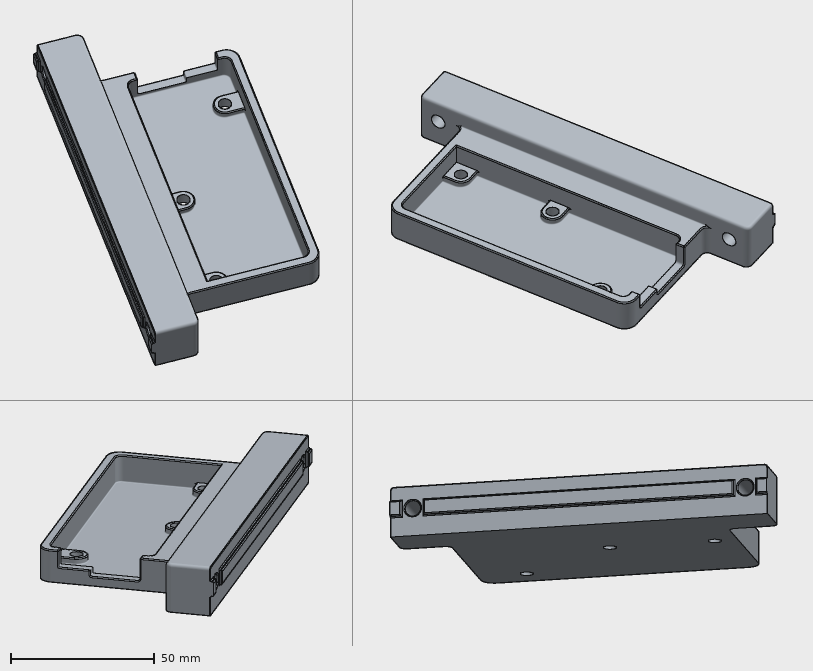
import cadquery as cq

EDGE_BREAK = 0.4
ROOT_RADIUS = 0.4

SELECT_MARGIN = 0.01

BAR_LENGTH = 135.0
BAR_DEPTH = 16.5
BAR_HEIGHT = 18.0
BAR_CORNER_RADIUS = 2.4
BAR_TOP_RADIUS = 1.2
BAR_FRONT_CHAMFER = 0.3

RAIL_PROJECTION = 1.2
RAIL_HEIGHT = 5.4
RAIL_CENTER_Z = 10.0
RAIL_LENGTH = 111.0
RAIL_CHAMFER = 0.4
TAB_LENGTH = 3.9

MOUNT_HOLE_SPACING = 119.1
MOUNT_HOLE_DIAMETER = 5.5
MOUNT_HOLE_CHAMFER = 0.4

TRAY_WIDTH = 99.4
TRAY_DEPTH = 50.6
TRAY_HEIGHT = 12.0
TRAY_CORNER_RADIUS = 4.9
TRAY_JOINT_RADIUS = 2.4
TRAY_BACK_Y = BAR_DEPTH + TRAY_DEPTH

POCKET_WALL = 3.5
POCKET_LENGTH_Y = 37.5
POCKET_CORNER_RADIUS = 2.4
FLOOR_THICKNESS = 2.0
POCKET_WIDTH = TRAY_WIDTH - 2 * POCKET_WALL
POCKET_BACK_Y = TRAY_BACK_Y - POCKET_WALL
POCKET_FRONT_Y = POCKET_BACK_Y - POCKET_LENGTH_Y

BOSS_RADIUS = 4.0
BOSS_TOP_Z = 4.5
BOSS_FLARE_RADIUS = 0.5
BOSS_HOLE_DIAMETER = 4.6
REAR_BOSS_WALL_GAP = 6.1
FRONT_BOSS_WALL_GAP = 4.7
REAR_BOSS = (-32.1, POCKET_BACK_Y - REAR_BOSS_WALL_GAP)
MIDDLE_BOSS = (3.9, POCKET_FRONT_Y + FRONT_BOSS_WALL_GAP)
CORNER_BOSS = (POCKET_WIDTH / 2 - FRONT_BOSS_WALL_GAP, POCKET_FRONT_Y + FRONT_BOSS_WALL_GAP)

OPENING_START = 7.7
OPENING_STEP = 19.2
OPENING_END = 37.0
OPENING_SHALLOW_Z = 5.8
OPENING_DEEP_Z = 3.5
OPENING_END_RADIUS = 1.0


def box(x_min, x_max, y_min, y_max, z_min, z_max):
    size = (x_max - x_min, y_max - y_min, z_max - z_min)
    return cq.Workplane("XY").box(*size, centered=False).translate((x_min, y_min, z_min))


def make_bar():
    bar = box(-BAR_LENGTH / 2, BAR_LENGTH / 2, 0, BAR_DEPTH, 0, BAR_HEIGHT)
    bar = bar.edges("|Z and >Y").fillet(BAR_CORNER_RADIUS)
    bar = bar.faces(">Z").edges("not <Y").fillet(BAR_TOP_RADIUS)
    return bar.faces("<Y").edges("not <Z").chamfer(BAR_FRONT_CHAMFER)


def make_tray():
    """Tray block whose sides flare out to meet the back of the bar tangentially."""
    half_width = TRAY_WIDTH / 2
    flare_x = half_width + TRAY_JOINT_RADIUS
    flare_y = BAR_DEPTH + TRAY_JOINT_RADIUS
    overlap_y = BAR_DEPTH / 2
    tray = (
        cq.Workplane("XY")
        .moveTo(-flare_x, overlap_y)
        .lineTo(-flare_x, BAR_DEPTH)
        .radiusArc((-half_width, flare_y), -TRAY_JOINT_RADIUS)
        .lineTo(-half_width, TRAY_BACK_Y)
        .lineTo(half_width, TRAY_BACK_Y)
        .lineTo(half_width, flare_y)
        .radiusArc((flare_x, BAR_DEPTH), -TRAY_JOINT_RADIUS)
        .lineTo(flare_x, overlap_y)
        .close()
        .extrude(TRAY_HEIGHT)
    )
    return tray.edges("|Z and >Y").fillet(TRAY_CORNER_RADIUS)


def make_wall_boss(wall_gap):
    """Boss centred on the origin, its web flaring into a wall at y = wall_gap."""
    radius = BOSS_RADIUS
    foot = radius + BOSS_FLARE_RADIUS
    flare_start = wall_gap - BOSS_FLARE_RADIUS
    inside_wall = wall_gap + radius
    boss = (
        cq.Workplane("XY")
        .moveTo(-foot, inside_wall)
        .lineTo(-foot, wall_gap)
        .radiusArc((-radius, flare_start), BOSS_FLARE_RADIUS)
        .lineTo(-radius, 0)
        .threePointArc((0, -radius), (radius, 0))
        .lineTo(radius, flare_start)
        .radiusArc((foot, wall_gap), BOSS_FLARE_RADIUS)
        .lineTo(foot, inside_wall)
        .close()
        .extrude(BOSS_TOP_Z)
    )
    return boss.faces(">Z").chamfer(EDGE_BREAK)


def make_corner_boss(wall_gap):
    """Boss centred on the origin, filling the corner of walls at x = wall_gap and y = -wall_gap."""
    radius = BOSS_RADIUS
    foot = radius + BOSS_FLARE_RADIUS
    flare_start = wall_gap - BOSS_FLARE_RADIUS
    inside_wall = wall_gap + radius
    boss = (
        cq.Workplane("XY")
        .moveTo(-foot, -inside_wall)
        .lineTo(-foot, -wall_gap)
        .radiusArc((-radius, -flare_start), -BOSS_FLARE_RADIUS)
        .lineTo(-radius, 0)
        .radiusArc((0, radius), radius)
        .lineTo(flare_start, radius)
        .radiusArc((wall_gap, foot), -BOSS_FLARE_RADIUS)
        .lineTo(inside_wall, foot)
        .lineTo(inside_wall, -inside_wall)
        .close()
        .extrude(BOSS_TOP_Z)
    )
    return boss.faces(">Z").chamfer(EDGE_BREAK)


def make_pocket():
    half_width = POCKET_WIDTH / 2
    pocket = box(-half_width, half_width, POCKET_FRONT_Y, POCKET_BACK_Y, FLOOR_THICKNESS, TRAY_HEIGHT)
    pocket = pocket.edges("|Z and (>Y or <X)").fillet(POCKET_CORNER_RADIUS)
    rear_boss = make_wall_boss(REAR_BOSS_WALL_GAP)
    middle_boss = make_wall_boss(FRONT_BOSS_WALL_GAP).rotate((0, 0, 0), (0, 0, 1), 180)
    corner_boss = make_corner_boss(FRONT_BOSS_WALL_GAP)
    pocket = pocket.cut(rear_boss.translate((*REAR_BOSS, 0)))
    pocket = pocket.cut(middle_boss.translate((*MIDDLE_BOSS, 0)))
    pocket = pocket.cut(corner_boss.translate((*CORNER_BOSS, 0)))
    return pocket.faces("<Z").edges().fillet(ROOT_RADIUS)


def make_opening():
    start_y = TRAY_BACK_Y - OPENING_START
    step_y = TRAY_BACK_Y - OPENING_STEP
    end_y = TRAY_BACK_Y - OPENING_END
    profile = [
        (start_y, TRAY_HEIGHT),
        (start_y, OPENING_SHALLOW_Z),
        (step_y, OPENING_SHALLOW_Z),
        (step_y, OPENING_DEEP_Z),
        (end_y, OPENING_DEEP_Z),
        (end_y, TRAY_HEIGHT),
    ]
    opening = cq.Workplane("YZ", origin=(-TRAY_WIDTH / 2, 0, 0)).polyline(profile).close()
    opening = opening.extrude(POCKET_WALL)
    opening = opening.edges("|X and <Y and <Z").fillet(OPENING_END_RADIUS)
    step_corners = cq.selectors.BoxSelector(
        (-TRAY_WIDTH, step_y - ROOT_RADIUS, 0), (0, start_y + ROOT_RADIUS, TRAY_HEIGHT - ROOT_RADIUS)
    )
    return opening.edges("|X").edges(step_corners).fillet(ROOT_RADIUS)


def break_tray_edges(tray):
    """Chamfer the tray rim and the outer outline of the side opening."""
    outer_x = -TRAY_WIDTH / 2
    opening_outline = cq.selectors.BoxSelector(
        (outer_x - SELECT_MARGIN, TRAY_BACK_Y - OPENING_END - SELECT_MARGIN, OPENING_DEEP_Z - SELECT_MARGIN),
        (outer_x + SELECT_MARGIN, TRAY_BACK_Y - OPENING_START + SELECT_MARGIN, TRAY_HEIGHT - SELECT_MARGIN),
    )
    rim = tray.faces(">Z").edges()
    return rim.add(tray.edges(opening_outline)).chamfer(EDGE_BREAK)


def round_joint_root(body):
    """Small fillet where the tray top meets the back of the bar."""
    joint = cq.selectors.NearestToPointSelector((0, BAR_DEPTH, TRAY_HEIGHT))
    return body.edges("|X").edges(joint).fillet(ROOT_RADIUS)


def make_rail(x_min, x_max):
    """Rail segment on the front face with a chamfered tip, a flared root and a flat foot."""
    z_min = RAIL_CENTER_Z - RAIL_HEIGHT / 2
    z_max = RAIL_CENTER_Z + RAIL_HEIGHT / 2
    rail = box(x_min, x_max, -RAIL_PROJECTION, 0, z_min, z_max)
    rail = rail.faces("<Y").chamfer(RAIL_CHAMFER)
    root = (
        cq.Workplane("XZ")
        .center((x_min + x_max) / 2, RAIL_CENTER_Z)
        .rect(x_max - x_min + 2 * RAIL_CHAMFER, RAIL_HEIGHT + 2 * RAIL_CHAMFER)
        .extrude(RAIL_CHAMFER, taper=45)
    )
    foot = box(
        x_min - RAIL_CHAMFER,
        x_max + RAIL_CHAMFER,
        0,
        BAR_FRONT_CHAMFER,
        z_min - RAIL_CHAMFER,
        z_max + RAIL_CHAMFER,
    )
    return rail.union(root).union(foot)


def make_rails():
    """Central rail and two end tabs, cut flush with the ends of the bar."""
    half = BAR_LENGTH / 2
    rails = make_rail(-RAIL_LENGTH / 2, RAIL_LENGTH / 2)
    rails = rails.union(make_rail(-half - RAIL_CHAMFER, -half + TAB_LENGTH))
    rails = rails.union(make_rail(half - TAB_LENGTH, half + RAIL_CHAMFER))
    return rails.intersect(box(-half, half, -RAIL_PROJECTION, BAR_FRONT_CHAMFER, 0, BAR_HEIGHT))


def cut_boss_holes(body):
    centers = [REAR_BOSS, MIDDLE_BOSS, CORNER_BOSS]
    holes = cq.Workplane("XY").pushPoints(centers).circle(BOSS_HOLE_DIAMETER / 2).extrude(TRAY_HEIGHT)
    return body.cut(holes)


def cut_mount_holes(body):
    radius = MOUNT_HOLE_DIAMETER / 2
    profile = [
        (0, 0),
        (radius + MOUNT_HOLE_CHAMFER, 0),
        (radius, MOUNT_HOLE_CHAMFER),
        (radius, BAR_DEPTH),
        (0, BAR_DEPTH),
    ]
    hole = cq.Workplane("XY").polyline(profile).close().revolve(360, (0, 0, 0), (0, 1, 0))
    for side in (-1, 1):
        body = body.cut(hole.translate((side * MOUNT_HOLE_SPACING / 2, 0, RAIL_CENTER_Z)))
    return body


tray = make_tray().cut(make_pocket()).cut(make_opening())
tray = break_tray_edges(tray)
body = make_bar().union(tray)
body = round_joint_root(body)
body = body.union(make_rails())
body = cut_boss_holes(body)
result = cut_mount_holes(body)